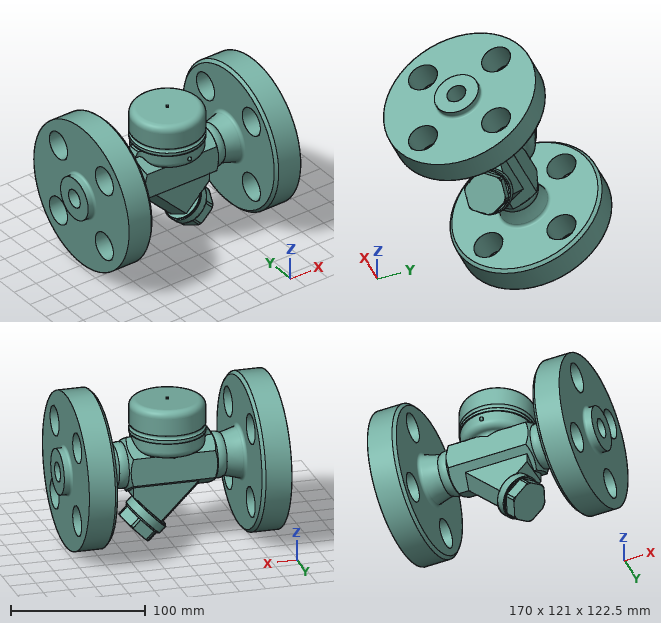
import cadquery as cq
import math

overall_length = 170.0
half_length = overall_length / 2
flange_diameter = 121.0
flange_radius = flange_diameter / 2
flange_thickness = 22.6
flange_chamfer = 2.4
raised_face_diameter = 35.0
raised_face_radius = raised_face_diameter / 2
raised_face_height = 6.5
raised_face_fillet = 2.0
flange_outer_x = half_length - raised_face_height
flange_inner_x = flange_outer_x - flange_thickness
bolt_hole_diameter = 23.0
bolt_spacing = 58.1

hub_fillet = 2.7
hub_large_radius = 19.2
hub_small_radius = 16.2
hub_end_x = 41.6
hub_sag = 0.25
bead_peak_radius = 17.5

body_width = 37.4
body_half_length = 34.5
body_face_radius = 17.2
end_cone_rise = 1.6

bore_diameter = 15.0
bore_depth = half_length - body_half_length

lug_width = 10.2
lug_top_z = 23.3
lug_blend_radius = 3.7

seat_radius = 56.0 / 2
rim_radius = 57.5 / 2
rim_bottom_z = 23.6
rim_top_z = 26.5
seat_fillet = 5.1
seat_fillet_z = 16.0
seat_floor_z = seat_fillet_z - seat_fillet
seat_root_fillet = 2.7
seat_root_radius = body_width / 2
groove_radius = 27.4
boss_diameter = 3.0
boss_z = 17.7
boss_tip_y = -30.0

cap_radius = rim_radius
cap_bottom_z = 30.1
cap_top_z = 48.8
cap_fillet = 5.5
nub_diameter = 2.0
nub_height = 1.0

branch_angle = 45.0
branch_axis_x = -25.0
branch_width = 24.8
branch_end = 36.7
branch_right_x = 29.8

plug_neck_radius = 16.0
collar_radius = 34.0 / 2
collar_start = 37.7
collar_end = 44.4
plug_hex_start = 45.5
plug_hex_width = 29.2
plug_hex_turned_radius = 16.3
plug_end = 54.4
plug_end_chamfer = 0.7


def hexagon_across_corners(across_flats):
    return across_flats * 2 / math.sqrt(3)


def make_flange_end():
    """Flange, hub and weld bead at the -X end, turned about the X axis."""
    hub_start_x = flange_inner_x - hub_fillet
    hub_middle_x = (hub_start_x + hub_end_x) / 2
    hub_middle_radius = (hub_large_radius + hub_small_radius) / 2 - hub_sag
    bead_middle_x = (hub_end_x + body_half_length) / 2
    turned = (
        cq.Workplane("XY")
        .moveTo(-half_length, 0)
        .lineTo(-half_length, raised_face_radius)
        .lineTo(-flange_outer_x - raised_face_fillet, raised_face_radius)
        .radiusArc((-flange_outer_x, raised_face_radius + raised_face_fillet), -raised_face_fillet)
        .lineTo(-flange_outer_x, flange_radius)
        .lineTo(-flange_inner_x - flange_chamfer, flange_radius)
        .lineTo(-flange_inner_x, flange_radius - flange_chamfer)
        .lineTo(-flange_inner_x, hub_large_radius + hub_fillet)
        .radiusArc((-hub_start_x, hub_large_radius), -hub_fillet)
        .threePointArc((-hub_middle_x, hub_middle_radius), (-hub_end_x, hub_small_radius))
        .threePointArc((-bead_middle_x, bead_peak_radius), (-body_half_length, body_face_radius))
        .lineTo(-body_half_length, 0)
        .close()
        .revolve(360, (0, 0, 0), (1, 0, 0))
    )
    bolt_holes = (
        cq.Workplane("YZ", origin=(-half_length, 0, 0))
        .rect(bolt_spacing, bolt_spacing, forConstruction=True)
        .vertices()
        .circle(bolt_hole_diameter / 2)
        .extrude(half_length)
    )
    return turned.cut(bolt_holes)


def make_end_bore():
    """Blind bore at the -X end."""
    return cq.Workplane("YZ", origin=(-half_length, 0, 0)).circle(bore_diameter / 2).extrude(bore_depth)


def make_lug():
    """Lug on the -X side of the body, flaring where it meets the round seat."""
    half_width = lug_width / 2
    centre_reach = seat_radius + lug_blend_radius
    centre_y = half_width + lug_blend_radius
    centre_x = -math.sqrt(centre_reach**2 - centre_y**2)
    seat_x = centre_x * seat_radius / centre_reach
    seat_y = centre_y * seat_radius / centre_reach
    return (
        cq.Workplane("XY")
        .moveTo(-body_half_length, -half_width)
        .lineTo(centre_x, -half_width)
        .radiusArc((seat_x, -seat_y), lug_blend_radius)
        .lineTo(seat_x, seat_y)
        .radiusArc((centre_x, half_width), lug_blend_radius)
        .lineTo(-body_half_length, half_width)
        .close()
        .extrude(lug_top_z)
    )


def make_hex_body():
    """Hexagonal bar with its ridge upwards and a lug, both trimmed by the conical ends."""
    bar = (
        cq.Workplane("YZ", origin=(-body_half_length, 0, 0))
        .transformed(rotate=(0, 0, 90))
        .polygon(6, hexagon_across_corners(body_width))
        .extrude(2 * body_half_length)
    )
    envelope_radius = body_face_radius + end_cone_rise * body_half_length
    envelope = (
        cq.Workplane("XY")
        .moveTo(-body_half_length, 0)
        .lineTo(-body_half_length, body_face_radius)
        .lineTo(0, envelope_radius)
        .lineTo(body_half_length, body_face_radius)
        .lineTo(body_half_length, 0)
        .close()
        .revolve(360, (0, 0, 0), (1, 0, 0))
    )
    return bar.union(make_lug()).intersect(envelope)


def make_seat():
    """Round seat under the cap, with a groove above its rim and a ball boss at the front."""
    turned = (
        cq.Workplane("XZ")
        .lineTo(seat_root_radius, 0)
        .lineTo(seat_root_radius, seat_floor_z - seat_root_fillet)
        .radiusArc((seat_root_radius + seat_root_fillet, seat_floor_z), seat_root_fillet)
        .lineTo(seat_radius - seat_fillet, seat_floor_z)
        .radiusArc((seat_radius, seat_fillet_z), -seat_fillet)
        .lineTo(seat_radius, rim_bottom_z)
        .lineTo(rim_radius, rim_bottom_z)
        .lineTo(rim_radius, rim_top_z)
        .threePointArc((groove_radius, (rim_top_z + cap_bottom_z) / 2), (rim_radius, cap_bottom_z))
        .lineTo(0, cap_bottom_z)
        .close()
        .revolve(360, (0, 0, 0), (0, 1, 0))
    )
    boss_radius = boss_diameter / 2
    boss = cq.Workplane("XY").sphere(boss_radius).translate((0, boss_tip_y + boss_radius, boss_z))
    return turned.union(boss)


def make_branch():
    """Sloping branch with a ridge along its underside, ending in a plug with a turned hexagon."""
    foot = branch_axis_x / 2
    slope = math.radians(branch_angle)
    plane = cq.Plane(
        origin=(foot, 0, foot),
        xDir=(math.sin(slope), 0, math.cos(slope)),
        normal=(math.cos(slope), 0, -math.sin(slope)),
    )
    half_width = branch_width / 2
    ridge = hexagon_across_corners(branch_width) / 2
    prism_top = 2 * body_half_length
    prism = (
        cq.Workplane(plane)
        .workplane(offset=-branch_end)
        .polyline([
            (-ridge, 0),
            (-ridge / 2, half_width),
            (prism_top, half_width),
            (prism_top, -half_width),
            (-ridge / 2, -half_width),
        ])
        .close()
        .extrude(2 * branch_end)
    )
    below_centre = cq.Workplane("XY").box(
        branch_right_x + body_half_length, branch_width, flange_radius, centered=(False, True, False)
    ).translate((-body_half_length, 0, -flange_radius))
    neck = cq.Workplane(plane).workplane(offset=branch_end).circle(plug_neck_radius)
    neck = neck.extrude(plug_hex_start - branch_end)
    collar = cq.Workplane(plane).workplane(offset=collar_start).circle(collar_radius)
    collar = collar.extrude(collar_end - collar_start)
    hex_plane = cq.Workplane(plane).workplane(offset=plug_hex_start)
    hex_length = plug_end - plug_hex_start
    hexagon = hex_plane.polygon(6, hexagon_across_corners(plug_hex_width)).extrude(hex_length)
    turned = hex_plane.circle(plug_hex_turned_radius).extrude(hex_length)
    turned = turned.faces(cq.selectors.DirectionMinMaxSelector(plane.zDir)).chamfer(plug_end_chamfer)
    hexagon = hexagon.intersect(turned)
    return prism.intersect(below_centre).union(neck).union(collar).union(hexagon)


def make_housing():
    housing = make_hex_body().union(make_seat()).union(make_branch())
    flange_end = make_flange_end()
    end_bore = make_end_bore()
    housing = housing.union(flange_end).union(flange_end.mirror("YZ"))
    return housing.cut(end_bore).cut(end_bore.mirror("YZ"))


def make_cap():
    """Round cap resting on the seat, with a small nub at its centre."""
    cap = (
        cq.Workplane("XY", origin=(0, 0, cap_bottom_z))
        .circle(cap_radius)
        .extrude(cap_top_z - cap_bottom_z)
        .faces(">Z")
        .edges()
        .fillet(cap_fillet)
    )
    nub = cq.Workplane("XY", origin=(0, 0, cap_top_z)).circle(nub_diameter / 2).extrude(nub_height)
    return cap.union(nub)


housing = make_housing()
cap = make_cap()
result = cq.Compound.makeCompound([housing.val(), cap.val()])